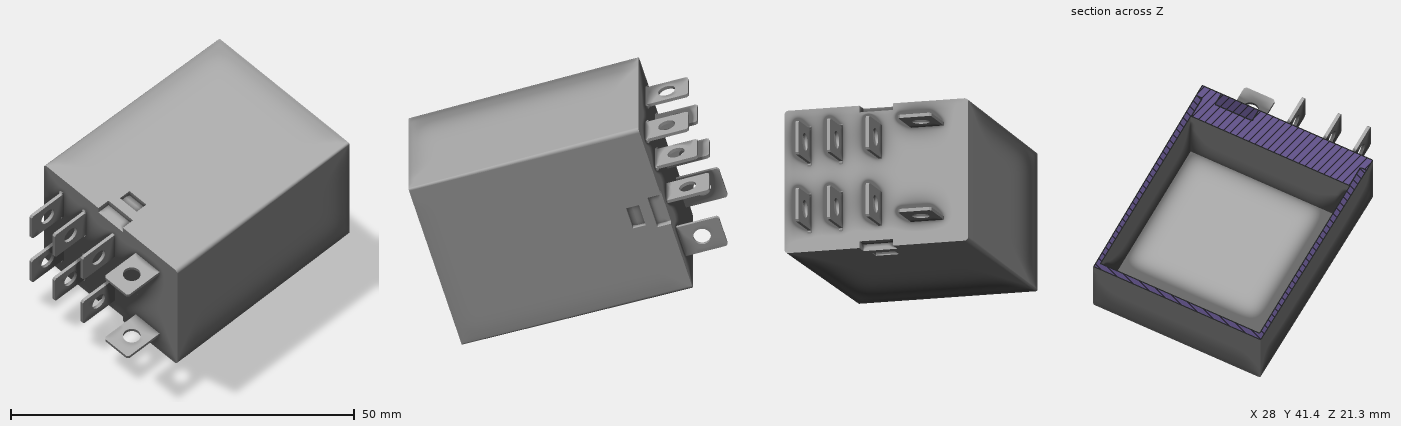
import cadquery as cq


OVERALL_LENGTH = 41.4
BODY_WIDTH = 28.0
BODY_HEIGHT = 21.3
BODY_LENGTH = 35.0
DRAFT_DEGREES = 0.5
EDGE_RADIUS = 0.6
FLANGE_LENGTH = 2.03
WALL = 1.0

LATCH_WIDTH = 3.5
LATCH_START = 3.55
LATCH_END = 5.5
LATCH_RAMP = 0.75
LATCH_HEIGHT = 0.3
NOTCH_WIDTH = 5.15

PLUG_DIAMETER = 6.0
PLUG_X = 7.8

BLADE_LENGTH = OVERALL_LENGTH - BODY_LENGTH
BLADE_WIDTH = 5.0
BLADE_THICKNESS = 0.5
BLADE_CHAMFER = 0.3
BLADE_HOLE_DIAMETER = 2.55
BLADE_HOLE_OUT = BLADE_LENGTH / 2
BLADE_EMBED = 0.4
BARBED_BLADE_XS = (-10.1, -5.3)
PLAIN_BLADE_X = 0.62
UPRIGHT_BLADE_Z = 5.0
FLAT_BLADE_X = PLUG_X
FLAT_BLADE_Z = 7.05

BARB_POINTS = ((0, 0.15), (0.3, 0.5), (0.45, 0.3), (0.2, 0.1), (0.2, 0))

CAVITY_WIDTH = BODY_WIDTH - 2 * WALL
CAVITY_HEIGHT = BODY_HEIGHT - 2 * WALL
INSERT_END = LATCH_END


def block(width, height, y_start, y_end, z_center=0):
    """Box centred on X, between two Y positions."""
    length = y_end - y_start
    return cq.Workplane("XY").box(width, length, height).translate((0, (y_start + y_end) / 2, z_center))


def along_y(x, y):
    """Workplane at the given X and Y that extrudes towards +Y."""
    return cq.Workplane(cq.Plane(origin=(x, y, 0), xDir=(1, 0, 0), normal=(0, 1, 0)))


def rounded_prism(y_start, y_end, draft_degrees=0):
    """Rounded body outline extruded along +Y, narrowing with the draft."""
    outline = cq.Sketch().rect(BODY_WIDTH, BODY_HEIGHT).vertices().fillet(EDGE_RADIUS)
    return along_y(0, y_start).placeSketch(outline).extrude(y_end - y_start, taper=draft_degrees)


def top_and_bottom(feature):
    """The feature together with its mirror image below the XY plane."""
    return feature.union(feature.mirror("XY"))


def latch():
    """Snap latch on the top of the insert, with a ramp on its +Y side."""
    z_foot = CAVITY_HEIGHT / 2
    z_top = z_foot + LATCH_HEIGHT
    return (
        cq.Workplane("YZ")
        .moveTo(LATCH_START, z_foot - WALL)
        .lineTo(LATCH_START, z_top)
        .lineTo(LATCH_END - LATCH_RAMP, z_top)
        .lineTo(LATCH_END, z_foot)
        .lineTo(LATCH_END, z_foot - WALL)
        .close()
        .extrude(LATCH_WIDTH / 2, both=True)
    )


def blade():
    """Upright terminal blade on the Y axis, with a round hole and chamfered tip corners."""
    plate = (
        cq.Workplane("XY")
        .box(BLADE_THICKNESS, BLADE_LENGTH + BLADE_EMBED, BLADE_WIDTH)
        .translate((0, (BLADE_EMBED - BLADE_LENGTH) / 2, 0))
        .faces("<Y").edges("|X").chamfer(BLADE_CHAMFER)
    )
    hole = (
        cq.Workplane("YZ")
        .center(-BLADE_HOLE_OUT, 0)
        .circle(BLADE_HOLE_DIAMETER / 2)
        .extrude(BLADE_THICKNESS, both=True)
    )
    return plate.cut(hole)


def barbed_blade():
    """Terminal blade with a small barb at both ends of its root."""
    edge = BLADE_WIDTH / 2
    outline = [(-out, edge + beyond) for out, beyond in BARB_POINTS]
    outline += [(-BARB_POINTS[-1][0], edge - BLADE_EMBED), (BLADE_EMBED, edge - BLADE_EMBED)]
    outline += [(BLADE_EMBED, edge + BARB_POINTS[0][1])]
    barb = cq.Workplane("YZ").polyline(outline).close().extrude(BLADE_THICKNESS / 2, both=True)
    return blade().union(top_and_bottom(barb))


def make_plug():
    """Round plug that passes through the flange, flush with the terminal face."""
    return along_y(PLUG_X, 0).circle(PLUG_DIAMETER / 2).extrude(FLANGE_LENGTH)


def make_base():
    """Flange with side notches, insert with latches, plug hole and terminal blades."""
    flange = rounded_prism(0, FLANGE_LENGTH)
    notch = block(NOTCH_WIDTH, 2 * WALL, -WALL, FLANGE_LENGTH, BODY_HEIGHT / 2)
    insert = block(CAVITY_WIDTH, CAVITY_HEIGHT, 0, INSERT_END)
    base = flange.cut(top_and_bottom(notch)).union(insert).union(top_and_bottom(latch()))
    base = base.cut(make_plug())
    for side in (-1, 1):
        z_upright = side * UPRIGHT_BLADE_Z
        for x in BARBED_BLADE_XS:
            base = base.union(barbed_blade().translate((x, 0, z_upright)))
        base = base.union(blade().translate((PLAIN_BLADE_X, 0, z_upright)))
        flat_blade = blade().rotate((0, 0, 0), (0, 1, 0), 90)
        base = base.union(flat_blade.translate((FLAT_BLADE_X, 0, side * FLAT_BLADE_Z)))
    return base


def make_cover():
    """Drafted shell, open towards the base, with a latch window in its top and bottom walls."""
    outside = rounded_prism(FLANGE_LENGTH, BODY_LENGTH, DRAFT_DEGREES)
    cavity = block(CAVITY_WIDTH, CAVITY_HEIGHT, 0, BODY_LENGTH - WALL)
    window = block(LATCH_WIDTH, 2 * WALL, LATCH_START, LATCH_END, BODY_HEIGHT / 2)
    return outside.cut(cavity).cut(top_and_bottom(window))


base = make_base()
cover = make_cover()
plug = make_plug()

result = cq.Compound.makeCompound([base.solids().val(), cover.solids().val(), plug.val()])